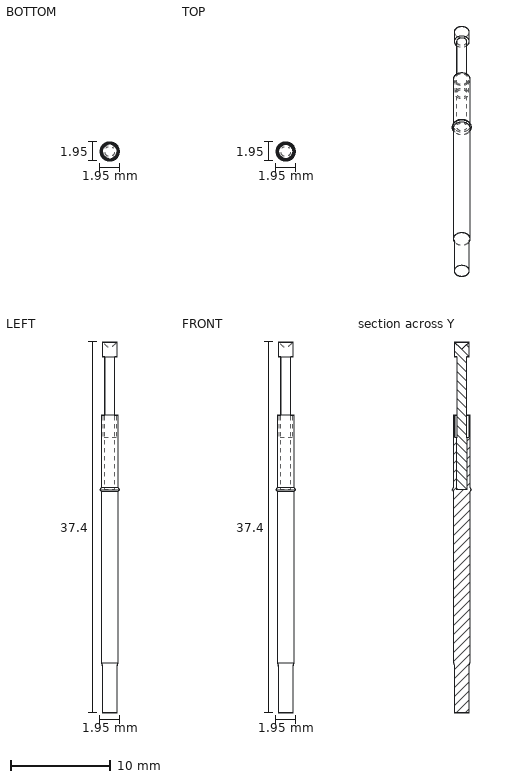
import cadquery as cq

total_length = 37.35

barrel_diameter = 1.68
barrel_bottom = 5.0
barrel_top = 30.0
taper_diameter = 1.65
tail_diameter = 1.5
tail_top = 4.7
bore_diameter = 1.4
bore_mouth_depth = 2.25

ring_diameter = 1.95
ring_bottom = 22.3
ring_crest = 22.45
ring_top = 22.7
ring_shoulder_diameter = 1.85

shank_diameter = 1.0
head_diameter = 1.5
head_height = 1.5
cup_depth = 0.67
shank_engagement = 7.47

mouth_bottom = barrel_top - bore_mouth_depth
shank_bottom = barrel_top - shank_engagement
head_bottom = total_length - head_height


def revolve_profile(profile):
    """Turn a closed (radius, Z) outline around the Z axis."""
    return profile.close().revolve(360, (0, 0, 0), (0, 1, 0))


def make_barrel():
    """Tube with a rounded press ring, a tapered lower end, a plain tail and a stepped bore."""
    barrel_radius = barrel_diameter / 2
    tail_radius = tail_diameter / 2
    ring_shoulder = (ring_crest + ring_top) / 2
    outline = (
        cq.Workplane("XZ")
        .moveTo(0, 0)
        .lineTo(tail_radius, 0)
        .lineTo(tail_radius, tail_top)
        .lineTo(taper_diameter / 2, barrel_bottom)
        .lineTo(barrel_radius, barrel_bottom)
        .lineTo(barrel_radius, ring_bottom)
        .lineTo(ring_diameter / 2, ring_crest)
        .threePointArc((ring_shoulder_diameter / 2, ring_shoulder), (barrel_radius, ring_top))
        .lineTo(barrel_radius, barrel_top)
        .lineTo(bore_diameter / 2, barrel_top)
        .lineTo(bore_diameter / 2, mouth_bottom)
        .lineTo(shank_diameter / 2, mouth_bottom)
        .lineTo(shank_diameter / 2, shank_bottom)
        .lineTo(0, shank_bottom)
    )
    return revolve_profile(outline)


def make_plunger():
    """Round shank with a wider head that ends in a conical cup."""
    shank_radius = shank_diameter / 2
    head_radius = head_diameter / 2
    outline = (
        cq.Workplane("XZ")
        .moveTo(0, shank_bottom)
        .lineTo(shank_radius, shank_bottom)
        .lineTo(shank_radius, head_bottom)
        .lineTo(head_radius, head_bottom)
        .lineTo(head_radius, total_length)
        .lineTo(0, total_length - cup_depth)
    )
    return revolve_profile(outline)


barrel = make_barrel()
plunger = make_plunger()

result = cq.Compound.makeCompound([barrel.val(), plunger.val()])